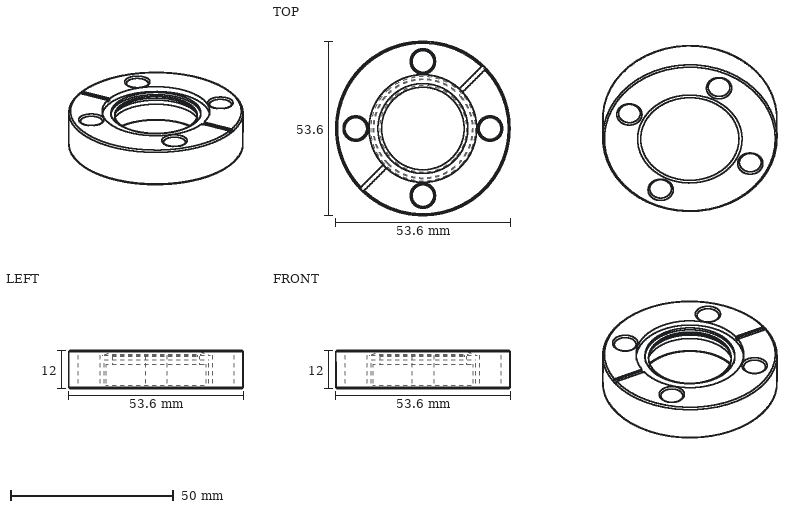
import cadquery as cq

flange_radius = 26.8
flange_height = 11.95
edge_chamfer = 0.55

recess_radius = 16.55
recess_depth = 1.65
knife_radius = 13.8
knife_depth = 0.6
lip_radius = 12.7
lip_top_depth = 1.35
lip_bottom_depth = 1.95

bolt_count = 4
bolt_circle_radius = 20.65
bolt_hole_diameter = 6.7
bolt_hole_chamfer = 0.55

groove_count = 2
groove_width = 1.45
groove_depth = 0.55
groove_angle = 45.0

neck_radius = 13.35
sleeve_outer_radius = 16.1
sleeve_inner_radius = 15.4
sleeve_top_depth = 3.0
neck_bottom_depth = 4.4
window_radius = 15.1
window_top_depth = 10.75


def height_at(depth):
    """Z height of a level given as a depth below the flange top."""
    return flange_height - depth


def revolve_profile(points):
    """Solid of revolution about Z from (radius, height) points."""
    return cq.Workplane("XZ").polyline(points).close().revolve(360, (0, 0), (0, 1))


def make_flange_ring():
    sleeve_top = height_at(sleeve_top_depth)
    return revolve_profile([
        (sleeve_outer_radius, 0),
        (flange_radius - edge_chamfer, 0),
        (flange_radius, edge_chamfer),
        (flange_radius, height_at(edge_chamfer)),
        (flange_radius - edge_chamfer, flange_height),
        (recess_radius, flange_height),
        (recess_radius, height_at(recess_depth)),
        (knife_radius, height_at(knife_depth)),
        (knife_radius, height_at(lip_top_depth)),
        (lip_radius, height_at(lip_top_depth)),
        (lip_radius, height_at(lip_bottom_depth)),
        (neck_radius, height_at(lip_bottom_depth)),
        (neck_radius, sleeve_top),
        (sleeve_outer_radius, sleeve_top),
    ])


def make_bolt_hole_cutter():
    """Through hole with a chamfer at each end, at the +X bolt position."""
    hole_radius = bolt_hole_diameter / 2
    mouth_radius = hole_radius + bolt_hole_chamfer
    cutter = revolve_profile([
        (0, 0),
        (mouth_radius, 0),
        (hole_radius, bolt_hole_chamfer),
        (hole_radius, height_at(bolt_hole_chamfer)),
        (mouth_radius, flange_height),
        (0, flange_height),
    ])
    return cutter.translate((bolt_circle_radius, 0, 0))


def make_groove_cutter():
    """Radial slot along +X, open to the recess and the rim."""
    return (
        cq.Workplane("XY", origin=(knife_radius, 0, height_at(groove_depth)))
        .box(flange_radius, groove_width, groove_depth, centered=(False, True, False))
    )


def make_flange():
    flange = make_flange_ring()
    for i in range(bolt_count):
        turn = i * 360 / bolt_count
        flange = flange.cut(make_bolt_hole_cutter().rotate((0, 0, 0), (0, 0, 1), turn))
    for i in range(groove_count):
        turn = groove_angle + i * 360 / groove_count
        flange = flange.cut(make_groove_cutter().rotate((0, 0, 0), (0, 0, 1), turn))
    return flange


def make_sleeve():
    """Tube with an inward neck at its top and a window seat at its bottom."""
    return revolve_profile([
        (window_radius, 0),
        (sleeve_outer_radius, 0),
        (sleeve_outer_radius, height_at(sleeve_top_depth)),
        (neck_radius, height_at(sleeve_top_depth)),
        (neck_radius, height_at(neck_bottom_depth)),
        (sleeve_inner_radius, height_at(neck_bottom_depth)),
        (sleeve_inner_radius, height_at(window_top_depth)),
        (window_radius, height_at(window_top_depth)),
    ])


def make_window():
    """Disc filling the bottom of the sleeve, level with the flange underside."""
    return cq.Workplane("XY").circle(window_radius).extrude(height_at(window_top_depth))


flange = make_flange()
sleeve = make_sleeve()
window = make_window()

result = cq.Compound.makeCompound([flange.val(), sleeve.val(), window.val()])